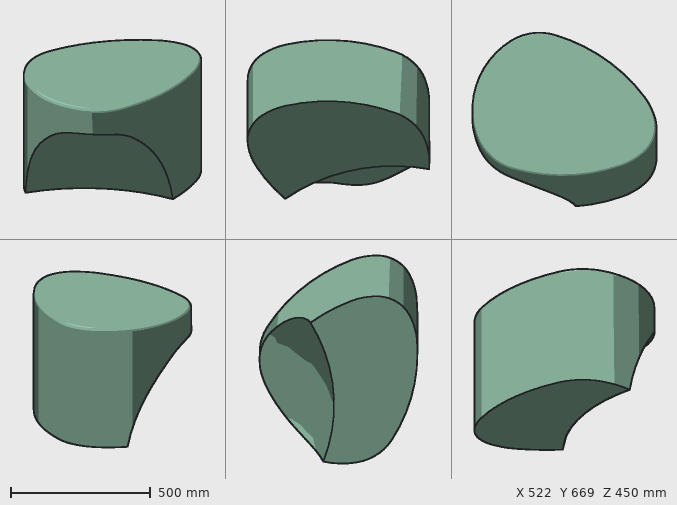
import cadquery as cq
import math

length = 669.0
width = 522.0
height = 450.0
edge_fillet = 15.0

widest_y = -120.5
blunt_radius = 301.0
side_radius = 622.0
shoulder_radius = 243.5
tip_radius = 131.0

hollow_heading = -36.0
axis_distance = 669.0
axis_shift = -53.5
foot_reach = 53.0
middle_reach = 107.0
middle_height = 154.0
brow_reach = 238.0
brow_height = 314.0
roof_reach = 334.5
roof_height = 351.0


def circle_crossing(center_a, radius_a, center_b, radius_b):
    """Return the crossing of two circles that lies to the right when going from a to b."""
    dx = center_b[0] - center_a[0]
    dy = center_b[1] - center_a[1]
    gap = math.hypot(dx, dy)
    along = (gap**2 + radius_a**2 - radius_b**2) / (2 * gap)
    across = math.sqrt(radius_a**2 - along**2)
    return (
        center_a[0] + (along * dx + across * dy) / gap,
        center_a[1] + (along * dy - across * dx) / gap,
    )


def touch_point(outer_center, inner_center, inner_radius):
    """Return where an arc touches the larger arc that it continues tangentially."""
    dx = inner_center[0] - outer_center[0]
    dy = inner_center[1] - outer_center[1]
    gap = math.hypot(dx, dy)
    return (
        inner_center[0] + inner_radius * dx / gap,
        inner_center[1] + inner_radius * dy / gap,
    )


def mirrored(point):
    return (-point[0], point[1])


def egg_outline():
    """Closed egg outline in the XY plane, starting at the -X end of the blunt arc."""
    half_width = width / 2
    blunt_center = (0.0, -length / 2 + blunt_radius)
    tip_center = (0.0, length / 2 - tip_radius)
    side_center = (half_width - side_radius, widest_y)

    rise = blunt_center[1] - widest_y
    corner_radius = (blunt_radius**2 - half_width**2 - rise**2) / (2 * (blunt_radius - half_width))
    corner_center = (half_width - corner_radius, widest_y)

    shoulder_center = circle_crossing(
        side_center, side_radius - shoulder_radius, tip_center, shoulder_radius - tip_radius
    )

    widest = (half_width, widest_y)
    blunt_joint = touch_point(blunt_center, corner_center, corner_radius)
    side_joint = touch_point(side_center, shoulder_center, shoulder_radius)
    tip_joint = touch_point(shoulder_center, tip_center, tip_radius)

    return (
        cq.Workplane("XY")
        .moveTo(*mirrored(blunt_joint))
        .threePointArc((0, -length / 2), blunt_joint)
        .tangentArcPoint(widest, relative=False)
        .tangentArcPoint(side_joint, relative=False)
        .tangentArcPoint(tip_joint, relative=False)
        .tangentArcPoint(mirrored(tip_joint), relative=False)
        .tangentArcPoint(mirrored(side_joint), relative=False)
        .tangentArcPoint(mirrored(widest), relative=False)
        .tangentArcPoint(mirrored(blunt_joint), relative=False)
        .close()
    )


def hollow_cutter():
    """Half-section of the void, turned about the upright axis, with its heading first along X."""
    profile = (
        cq.Workplane("XZ")
        .moveTo(foot_reach, 0)
        .threePointArc((middle_reach, middle_height), (brow_reach, brow_height))
        .tangentArcPoint((roof_reach, roof_height), relative=False)
        .lineTo(axis_distance, roof_height)
        .lineTo(axis_distance, 0)
        .close()
    )
    full_turn = 360
    cutter = profile.revolve(full_turn, (axis_distance, 0, 0), (axis_distance, 1, 0))
    return cutter.translate((0, axis_shift, 0)).rotate((0, 0, 0), (0, 0, 1), hollow_heading)


body = egg_outline().extrude(height).faces(">Z").edges().fillet(edge_fillet)
result = body.cut(hollow_cutter())